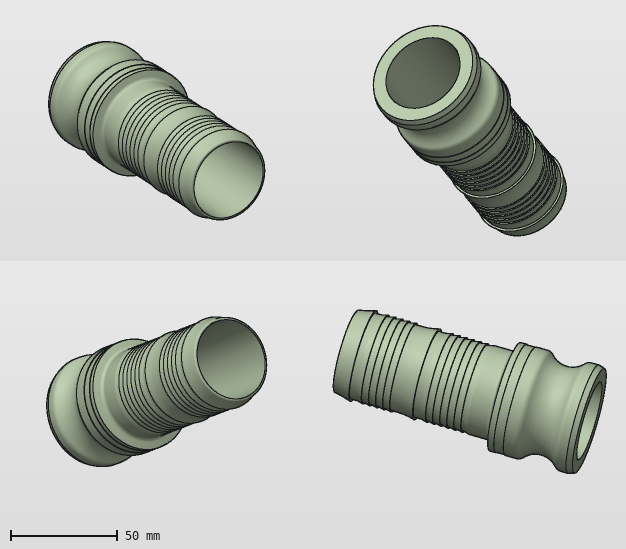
import cadquery as cq
import math

length = 120.0
bore_radius = 38.0 / 2
head_radius = 53.0 / 2
band_radius = 52.5 / 2
shank_radius = 43.5 / 2
root_radius = 42.0 / 2
barb_radius = 22.2

lead_length = 2.9
lead_drop = 1.0
lip_end = 6.5
groove_center = 17.4
groove_arc_radius = 11.4
band_start = 33.8
band_end = 38.5
shoulder_start = 41.5
shoulder_angle = math.radians(15)
shoulder_fillet = 1.9

tooth_pitch = 3.5
tooth_taper = 2.9
first_teeth_start = 52.9
first_teeth_count = 7
second_teeth_start = 91.5
second_teeth_count = 5
middle_barb_start = 80.0
middle_barb_end = 88.3
end_barb_start = 111.5
end_barb_sag = 0.18
nose_radius = 20.3
nose_round = 0.8


def add_locking_groove(outline):
    """Circular groove blended into the head by tangent rounded edges."""
    half_width = groove_center - lip_end
    depth = head_radius - shank_radius
    radii_sum = (half_width**2 + depth**2) / (2 * depth)
    edge_radius = radii_sum - groove_arc_radius
    edge_angle = math.asin(half_width / radii_sum)
    edge_run = edge_radius * math.sin(edge_angle)
    blend_radius = head_radius - edge_radius * (1 - math.cos(edge_angle))
    half_run = edge_radius * math.sin(edge_angle / 2)
    half_level = head_radius - edge_radius * (1 - math.cos(edge_angle / 2))
    groove_end = groove_center + half_width
    return (
        outline.lineTo(lip_end, head_radius)
        .threePointArc((lip_end + half_run, half_level), (lip_end + edge_run, blend_radius))
        .threePointArc((groove_center, shank_radius), (groove_end - edge_run, blend_radius))
        .threePointArc((groove_end - half_run, half_level), (groove_end, head_radius))
    )


def add_band(outline):
    """Shallow band recessed in the head."""
    return (
        outline.lineTo(band_start, head_radius)
        .lineTo(band_start, band_radius)
        .lineTo(band_end, band_radius)
        .lineTo(band_end, head_radius)
    )


def add_shoulder(outline):
    """Steep conical back face, filleted into the shank."""
    turn = math.pi / 2 - shoulder_angle
    fillet_start_radius = shank_radius + shoulder_fillet * (1 - math.cos(turn))
    cone_run = (head_radius - fillet_start_radius) * math.tan(shoulder_angle)
    fillet_start = shoulder_start + cone_run
    fillet_end = fillet_start + shoulder_fillet * math.sin(turn)
    fillet_middle = (
        fillet_end - shoulder_fillet * math.sin(turn / 2),
        shank_radius + shoulder_fillet * (1 - math.cos(turn / 2)),
    )
    return (
        outline.lineTo(shoulder_start, head_radius)
        .lineTo(fillet_start, fillet_start_radius)
        .threePointArc(fillet_middle, (fillet_end, shank_radius))
    )


def add_teeth(outline, start, count):
    """Saw teeth: a taper from crest to root, then a short flat before the next crest."""
    for index in range(count):
        crest = start + index * tooth_pitch
        if index > 0:
            outline = outline.lineTo(crest, root_radius)
        outline = outline.lineTo(crest, shank_radius)
        outline = outline.lineTo(crest + tooth_taper, root_radius)
    return outline


def add_middle_barb(outline):
    """Barb with a hollow back that runs out tangent to the root cylinder."""
    run = middle_barb_end - middle_barb_start
    rise = barb_radius - root_radius
    arc_radius = (run**2 + rise**2) / (2 * rise)
    middle_x = middle_barb_end - run / 2
    middle_level = root_radius + arc_radius - math.sqrt(arc_radius**2 - (run / 2) ** 2)
    return (
        outline.lineTo(middle_barb_start, root_radius)
        .lineTo(middle_barb_start, barb_radius)
        .threePointArc((middle_x, middle_level), (middle_barb_end, root_radius))
    )


def add_end_barb(outline):
    """Slightly hollow barb ending in a rounded nose."""
    nose_start = length - nose_round
    middle = (
        (end_barb_start + nose_start) / 2,
        (barb_radius + nose_radius) / 2 - end_barb_sag,
    )
    round_offset = nose_round * math.sqrt(0.5)
    round_middle = (nose_start + round_offset, nose_radius - nose_round + round_offset)
    return (
        outline.lineTo(end_barb_start, root_radius)
        .lineTo(end_barb_start, barb_radius)
        .threePointArc(middle, (nose_start, nose_radius))
        .threePointArc(round_middle, (length, nose_radius - nose_round))
    )


profile = (
    cq.Workplane("XY")
    .moveTo(0, bore_radius)
    .lineTo(0, head_radius - lead_drop)
    .lineTo(lead_length, head_radius)
)
profile = add_locking_groove(profile)
profile = add_band(profile)
profile = add_shoulder(profile)
profile = add_teeth(profile, first_teeth_start, first_teeth_count)
profile = add_middle_barb(profile)
profile = profile.lineTo(second_teeth_start, root_radius)
profile = add_teeth(profile, second_teeth_start, second_teeth_count)
profile = add_end_barb(profile)
profile = profile.lineTo(length, bore_radius).close()

result = profile.revolve(360, (0, 0, 0), (1, 0, 0))